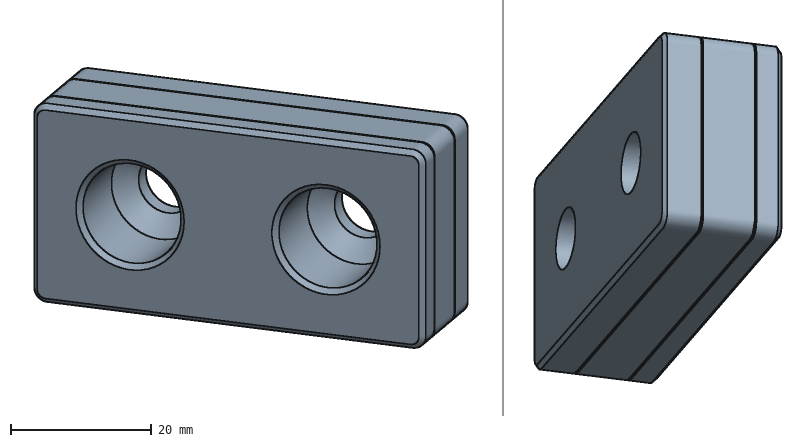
import cadquery as cq

length = 60.0
depth = 18.0
height = 30.0
corner_radius = 2.05
front_chamfer = 0.8
back_chamfer = 0.6
front_y = -depth / 2

groove_width = 0.3
groove_depth = 0.3
groove_offsets = (4.0, 12.0)

hole_spacing = length / 2
bore_diameter = 15.0
through_diameter = 9.0
bore_radius = bore_diameter / 2
through_radius = through_diameter / 2
mouth_chamfer = front_chamfer
bore_depth = 12.0
seat_depth = bore_radius - through_radius


def rounded_slab(size_x, size_y, size_z, radius):
    """Slab centered on the origin, with rounded corners seen along Y."""
    return cq.Workplane("XY").box(size_x, size_y, size_z).edges("|Y").fillet(radius)


def block():
    """Rounded block with chamfered front and back rims."""
    body = rounded_slab(length, depth, height, corner_radius)
    return body.faces("<Y").chamfer(front_chamfer).faces(">Y").chamfer(back_chamfer)


def groove_ring(offset):
    """Material removed by one groove that starts at the given distance from the front face."""
    outer = cq.Workplane("XY").box(length, groove_width, height)
    core = rounded_slab(
        length - 2 * groove_depth,
        groove_width,
        height - 2 * groove_depth,
        corner_radius - groove_depth,
    )
    return outer.cut(core).translate((0, front_y + offset + groove_width / 2, 0))


def seated_hole(center_x):
    """Chamfered mouth, straight bore, conical seat and through hole, revolved about Y."""
    seat_y = front_y + bore_depth
    profile = (
        cq.Workplane("XY")
        .moveTo(0, front_y)
        .lineTo(bore_radius + mouth_chamfer, front_y)
        .lineTo(bore_radius, front_y + mouth_chamfer)
        .lineTo(bore_radius, seat_y)
        .lineTo(through_radius, seat_y + seat_depth)
        .lineTo(through_radius, depth / 2)
        .lineTo(0, depth / 2)
        .close()
    )
    return profile.revolve(360, (0, 0, 0), (0, 1, 0)).translate((center_x, 0, 0))


result = block()
for groove_offset in groove_offsets:
    result = result.cut(groove_ring(groove_offset))
for side in (-1, 1):
    result = result.cut(seated_hole(side * hole_spacing / 2))